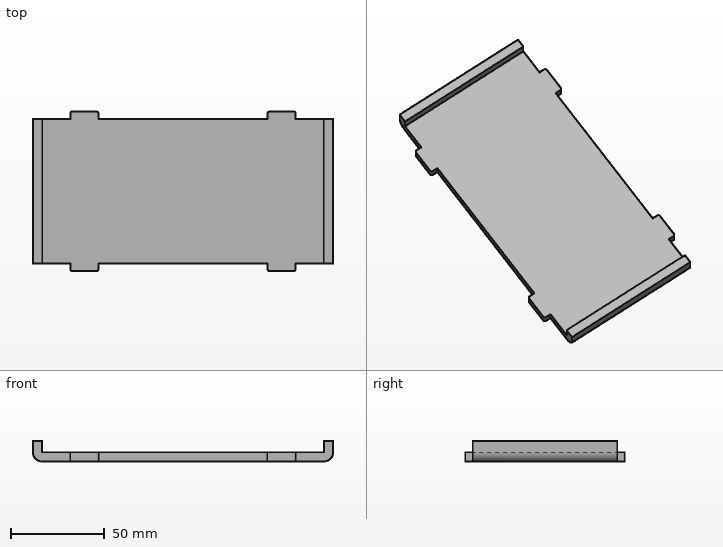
import cadquery as cq

length = 160.0
width_over_tabs = 85.0
height = 11.0
thickness = 5.0
tab_length = 15.0
tab_projection = 4.0
tab_end_offset = 20.0
tab_corner_radius = 1.0

plate_width = width_over_tabs - 2 * tab_projection
half_length = length / 2
lip_inner_x = half_length - thickness
bend_radius = thickness
tab_center_x = half_length - tab_end_offset - tab_length / 2


def make_tray():
    """Plate with a lip at each end, extruded across its width from one XZ profile."""
    profile = (
        cq.Workplane("XZ")
        .moveTo(-half_length + bend_radius, 0)
        .lineTo(half_length - bend_radius, 0)
        .radiusArc((half_length, bend_radius), -bend_radius)
        .lineTo(half_length, height)
        .lineTo(lip_inner_x, height)
        .lineTo(lip_inner_x, thickness)
        .lineTo(-lip_inner_x, thickness)
        .lineTo(-lip_inner_x, height)
        .lineTo(-half_length, height)
        .lineTo(-half_length, bend_radius)
        .radiusArc((-half_length + bend_radius, 0), -bend_radius)
        .close()
    )
    return profile.extrude(plate_width / 2, both=True)


def make_tab_bars():
    """Bars across the full width whose rounded ends form the opposite pairs of tabs."""
    return (
        cq.Workplane("XY")
        .pushPoints([(-tab_center_x, 0), (tab_center_x, 0)])
        .rect(tab_length, width_over_tabs)
        .extrude(thickness)
        .edges("|Z")
        .fillet(tab_corner_radius)
    )


result = make_tray().union(make_tab_bars()).clean()